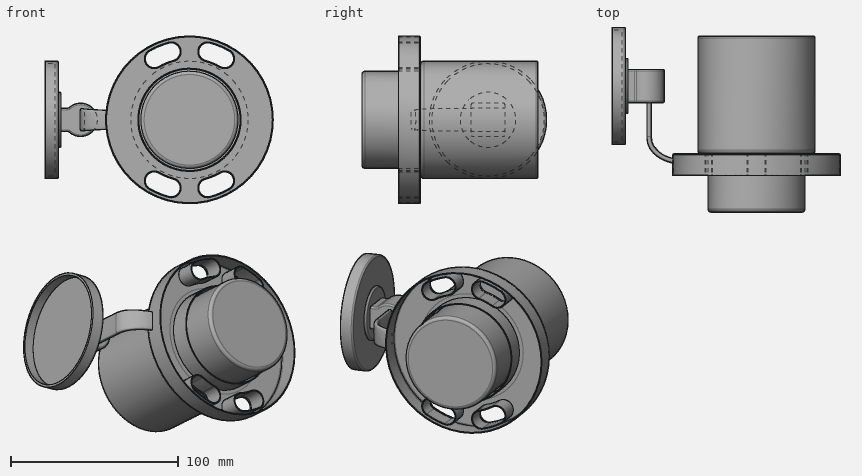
import cadquery as cq
import math


ring_radius = 50.0
ring_depth = 13.0
ring_back_y = -40.25
ring_front_y = ring_back_y - ring_depth
wall = 0.6
ring_edge_fillet = 1.0
collar_inner_radius = 30.2
collar_outer_radius = collar_inner_radius + wall

slot_pitch_radius = 42.0
slot_half_width = 5.3
slot_start_angle = 60.0
slot_end_angle = 75.0

tumbler_radius = 35.0
tumbler_height = 70.0
tumbler_top_y = ring_back_y + tumbler_height
tumbler_lip_fillet = 1.0
shoulder_fillet = 2.0
foot_radius = 29.0
foot_end_y = -75.25
foot_fillet = 2.0

wall_x = -86.0
flange_radius = 35.0
flange_thickness = 8.0
flange_rim = 1.5
flange_recess = 6.0
flange_fillet = 1.0
pad_radius = 16.5
pad_thickness = 1.5
pad_fillet = 1.0
pad_face_x = wall_x + flange_thickness + pad_thickness

post_radius = 10.0
post_length = 20.0
neck_length = 11.6
post_x = pad_face_x + neck_length
neck_half_width = 7.0
neck_fillet = 2.0
post_edge_fillet = 1.0

arm_x = post_x + 0.95
arm_start_y = -post_length / 2
arm_bend_y = -30.0
arm_middle_point = (-59.0, -40.3)
arm_end_point = (-49.5, -44.6)
arm_end_slope = 11.0
arm_thickness = 2.8
arm_start_width = 13.5
arm_end_width = 11.5
arm_squareness = 4.0
arm_outline_points = 24


def disc_along_y(radius, y_from, y_to):
    """Cylinder on the Y axis between two Y positions, y_from above y_to."""
    return cq.Workplane("XZ", origin=(0, y_from, 0)).circle(radius).extrude(y_from - y_to)


def disc_along_x(radius, x_from, length):
    """Cylinder on the X axis that starts at x_from and runs towards +X."""
    return cq.Workplane("YZ", origin=(x_from, 0, 0)).circle(radius).extrude(length)


def brush_slot(half_width, y_from, y_to):
    """Prism of the curved slot in the +X +Z quadrant, with round ends."""
    def point(radius, angle):
        turn = math.radians(angle)
        return (radius * math.cos(turn), radius * math.sin(turn))

    inner = slot_pitch_radius - half_width
    outer = slot_pitch_radius + half_width
    middle_angle = (slot_start_angle + slot_end_angle) / 2
    start_x, start_z = point(slot_pitch_radius, slot_start_angle)
    end_x, end_z = point(slot_pitch_radius, slot_end_angle)
    start_turn = math.radians(slot_start_angle)
    end_turn = math.radians(slot_end_angle)
    start_tip = (start_x + half_width * math.sin(start_turn), start_z - half_width * math.cos(start_turn))
    end_tip = (end_x - half_width * math.sin(end_turn), end_z + half_width * math.cos(end_turn))
    return (
        cq.Workplane("XZ", origin=(0, y_from, 0))
        .moveTo(*point(outer, slot_start_angle))
        .threePointArc(point(outer, middle_angle), point(outer, slot_end_angle))
        .threePointArc(end_tip, point(inner, slot_end_angle))
        .threePointArc(point(inner, middle_angle), point(inner, slot_start_angle))
        .threePointArc(start_tip, point(outer, slot_start_angle))
        .close()
        .extrude(y_from - y_to)
    )


def four_quadrants(shape):
    """The shape and its mirror images in the YZ and XY planes."""
    upper = shape.union(shape.mirror("YZ"))
    return upper.union(upper.mirror("XY"))


def make_ring():
    web_front_y = ring_back_y - wall
    ring = disc_along_y(ring_radius, ring_back_y, ring_front_y).faces(">Y").edges().fillet(ring_edge_fillet)
    ring = ring.cut(disc_along_y(ring_radius - wall, web_front_y, ring_front_y))
    ring = ring.union(disc_along_y(collar_outer_radius, web_front_y, ring_front_y))
    ring = ring.union(four_quadrants(brush_slot(slot_half_width + wall, web_front_y, ring_front_y)))
    ring = ring.cut(disc_along_y(collar_inner_radius, ring_back_y, ring_front_y))
    return ring.cut(four_quadrants(brush_slot(slot_half_width, ring_back_y, ring_front_y)))


def make_tumbler():
    body = disc_along_y(tumbler_radius, tumbler_top_y, ring_back_y)
    body = body.faces(">Y").edges().fillet(tumbler_lip_fillet)
    body = body.faces("<Y").edges().fillet(shoulder_fillet)
    foot = disc_along_y(foot_radius, ring_back_y, foot_end_y).faces("<Y").edges().fillet(foot_fillet)
    return body.union(foot)


def make_flange():
    dish = disc_along_x(flange_radius, wall_x, flange_thickness).faces(">X").edges().fillet(flange_fillet)
    dish = dish.cut(disc_along_x(flange_radius - flange_rim, wall_x, flange_recess))
    pad = disc_along_x(pad_radius, wall_x + flange_thickness, pad_thickness)
    return dish.union(pad.faces(">X").edges().fillet(pad_fillet))


def make_post():
    top_y = post_length / 2
    barrel = cq.Workplane("XZ", origin=(post_x, top_y, 0)).circle(post_radius).extrude(post_length)
    neck = (
        cq.Workplane("XZ", origin=(pad_face_x, top_y, 0))
        .rect(neck_length, 2 * neck_half_width, centered=(False, True))
        .extrude(post_length)
    )
    post = barrel.union(neck)
    neck_joint_x = post_x - math.sqrt(post_radius**2 - neck_half_width**2)
    joint_reach = 1.0
    joints = cq.selectors.BoxSelector(
        (neck_joint_x - joint_reach, -top_y, -post_radius), (neck_joint_x + joint_reach, top_y, post_radius)
    )
    post = post.edges("|Y").edges(joints).fillet(neck_fillet)
    end_edges = post.faces("<Y or >Y").edges("not <X")
    return end_edges.fillet(post_edge_fillet)


def arm_section(plane, width):
    """Smooth closed superellipse outline, thin along the plane's x direction."""
    outline = []
    for index in range(arm_outline_points):
        turn = math.pi + 2 * math.pi * index / arm_outline_points
        across = math.copysign(abs(math.cos(turn)) ** (2 / arm_squareness), math.cos(turn))
        along = math.copysign(abs(math.sin(turn)) ** (2 / arm_squareness), math.sin(turn))
        outline.append((arm_thickness / 2 * across, width / 2 * along))
    return cq.Workplane(plane).spline(outline, periodic=True)


def make_arm():
    slope = math.radians(arm_end_slope)
    end_direction = (math.cos(slope), -math.sin(slope), 0)
    end_across = (math.sin(slope), math.cos(slope), 0)
    start_plane = cq.Plane(origin=(arm_x, arm_start_y, 0), xDir=(1, 0, 0), normal=(0, -1, 0))
    bend_plane = cq.Plane(origin=(arm_x, arm_bend_y, 0), xDir=(1, 0, 0), normal=(0, -1, 0))
    end_plane = cq.Plane(origin=(*arm_end_point, 0), xDir=end_across, normal=end_direction)

    straight = arm_section(start_plane, arm_start_width).close().extrude(arm_start_y - arm_bend_y)
    bend_path = cq.Workplane("XY").spline(
        [(arm_x, arm_bend_y), arm_middle_point, arm_end_point],
        tangents=[(0, -1, 0), end_direction],
    )
    bend_sections = [
        cq.Wire.assembleEdges([arm_section(bend_plane, arm_start_width).val()]),
        cq.Wire.assembleEdges([arm_section(end_plane, arm_end_width).val()]),
    ]
    bend = cq.Solid.sweep_multi(bend_sections, cq.Wire.assembleEdges([bend_path.val()]))
    arm = straight.union(cq.Workplane(bend))
    return arm.cut(disc_along_y(ring_radius, ring_back_y, ring_front_y))


ring = make_ring()
tumbler = make_tumbler()
flange = make_flange()
post = make_post()
arm = make_arm()

result = cq.Compound.makeCompound([ring.val(), tumbler.val(), flange.val(), post.val(), arm.val()])